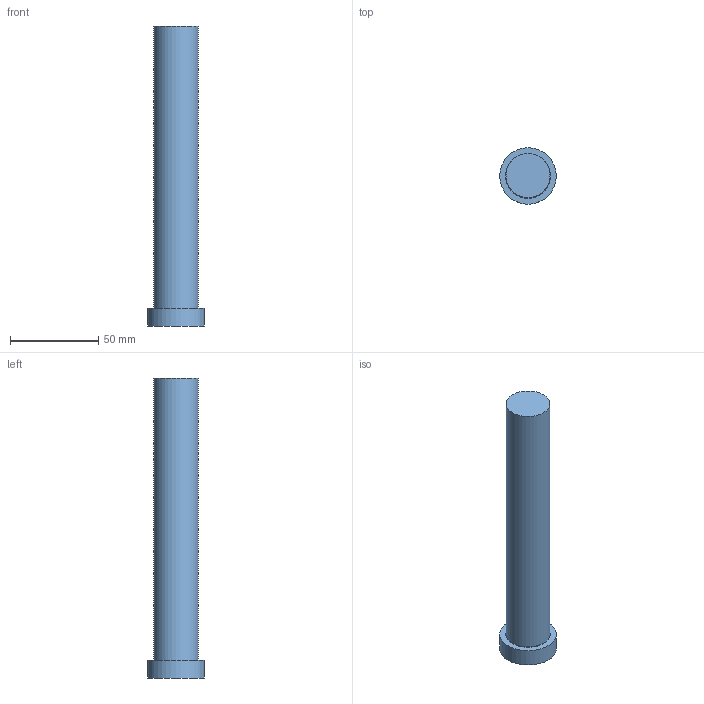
import cadquery as cq

head_diameter = 32.0
head_height = 10.0
shank_diameter = 25.0
total_height = 170.0
root_fillet_radius = 0.2

shank_length = total_height - head_height


def make_head():
    """Flat disc with its underside at Z = 0."""
    return cq.Workplane("XY").circle(head_diameter / 2).extrude(head_height)


def add_shank(head):
    """Plain round shank rising from the top face of the head."""
    return head.faces(">Z").workplane().circle(shank_diameter / 2).extrude(shank_length)


def fillet_shank_root(pin):
    """Small fillet where the shank meets the top face of the head."""
    shank_root = pin.faces("<Z[1]").edges("%CIRCLE").edges(cq.selectors.RadiusNthSelector(0))
    return shank_root.fillet(root_fillet_radius)


result = fillet_shank_root(add_shank(make_head()))